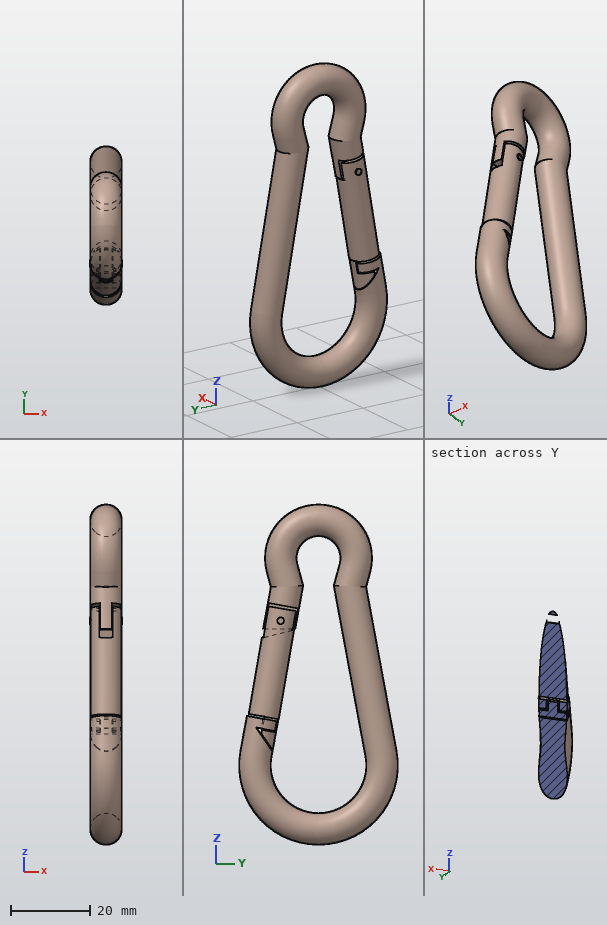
import cadquery as cq
import math


BAR_RADIUS = 4.0
TOP_BEND_RADIUS = 9.5
BOTTOM_BEND_RADIUS = 16.0
OVERALL_HEIGHT = 85.67
LEG_LEAN = math.radians(10.5)
NECK_LEAN = math.radians(15.0)

GATE_RADIUS = 3.86
GATE_TOP_OFFSET = 0.15
GATE_BOTTOM_OFFSET = -0.22
HINGE_GAP_START = 4.95
HINGE_GAP = 0.8
LATCH_GAP_START = 33.3
LATCH_GAP = 0.55

TONGUE_WIDTH = 2.8
SLOT_WIDTH = 3.4
TONGUE_END = 10.85
SLOT_FLOOR = 12.1
SLOT_FLOOR_TILT = math.radians(24.5)
PIN_DISTANCE = 8.8
PIN_RADIUS = 0.85
PIN_LENGTH = 8.15

NOTCH_TOP = 36.35
NOTCH_TIP_ACROSS = 1.1
HOOK_TOP_CLEARANCE = 0.3
HOOK_SLOPE_CLEARANCE = 0.12
HOOK_FACE_ACROSS = -0.37
STEM_CLEARANCE = 0.3
STEM_OVERLAP = 0.1

BAR_DIAMETER = 2 * BAR_RADIUS
REACH = 1.5 * BAR_RADIUS
TOP_CENTER_Z = OVERALL_HEIGHT / 2 - TOP_BEND_RADIUS - BAR_RADIUS
BOTTOM_CENTER_Z = -OVERALL_HEIGHT / 2 + BOTTOM_BEND_RADIUS + BAR_RADIUS


def bend_point(radius, center_z, angle):
    """Point on the +Y half of a bend, angle measured up from +Y."""
    return (radius * math.cos(angle), center_z + radius * math.sin(angle))


def find_kink():
    """Crossing of the leg axis and the neck axis, each tangent to its bend."""
    leg_side = BOTTOM_BEND_RADIUS + BOTTOM_CENTER_Z * math.sin(LEG_LEAN)
    neck_side = TOP_BEND_RADIUS - TOP_CENTER_Z * math.sin(NECK_LEAN)
    divisor = math.sin(LEG_LEAN + NECK_LEAN)
    y = (leg_side * math.sin(NECK_LEAN) + neck_side * math.sin(LEG_LEAN)) / divisor
    z = (leg_side * math.cos(NECK_LEAN) - neck_side * math.cos(LEG_LEAN)) / divisor
    return y, z


KINK_Y, KINK_Z = find_kink()


def gate_point(across, along):
    """Point by the gate leg: across is outward from its axis, along runs down from the kink."""
    y = -KINK_Y - across * math.cos(LEG_LEAN) - along * math.sin(LEG_LEAN)
    z = KINK_Z + across * math.sin(LEG_LEAN) - along * math.cos(LEG_LEAN)
    return y, z


def gate_prism(points, width):
    """Prism centred on x = 0 whose outline is given as (across, along) points."""
    outline = [gate_point(across, along) for across, along in points]
    return cq.Workplane("YZ").polyline(outline).close().extrude(width / 2, both=True)


def make_gate_opening():
    """Opening in the ring for the gate and both gaps, with the tongue left standing."""
    end = LATCH_GAP_START + LATCH_GAP
    outline = [
        (-REACH, HINGE_GAP_START),
        (REACH, HINGE_GAP_START),
        (REACH, end),
        (-REACH, end),
    ]
    return gate_prism(outline, BAR_DIAMETER).cut(make_tongue())


def make_ring():
    """Closed ring of round bar, made as one half and mirrored."""
    path = (
        cq.Workplane("YZ")
        .moveTo(*bend_point(BOTTOM_BEND_RADIUS, BOTTOM_CENTER_Z, -math.pi / 2))
        .threePointArc(
            bend_point(BOTTOM_BEND_RADIUS, BOTTOM_CENTER_Z, -math.pi / 4),
            bend_point(BOTTOM_BEND_RADIUS, BOTTOM_CENTER_Z, LEG_LEAN),
        )
        .lineTo(KINK_Y, KINK_Z)
        .lineTo(*bend_point(TOP_BEND_RADIUS, TOP_CENTER_Z, -NECK_LEAN))
        .threePointArc(
            bend_point(TOP_BEND_RADIUS, TOP_CENTER_Z, math.pi / 4),
            bend_point(TOP_BEND_RADIUS, TOP_CENTER_Z, math.pi / 2),
        )
    )
    start_z = BOTTOM_CENTER_Z - BOTTOM_BEND_RADIUS
    half = cq.Workplane("XZ").center(0, start_z).circle(BAR_RADIUS).sweep(path, transition="right")
    return half.union(half.mirror("XZ"))


def make_gate():
    """Straight round gate between the two gaps, leaning slightly inward towards the latch."""
    top_y, top_z = gate_point(GATE_TOP_OFFSET, HINGE_GAP_START + HINGE_GAP)
    bottom_y, bottom_z = gate_point(GATE_BOTTOM_OFFSET, LATCH_GAP_START)
    top = cq.Vector(0, top_y, top_z)
    axis = cq.Vector(0, bottom_y, bottom_z) - top
    return cq.Workplane(cq.Solid.makeCylinder(GATE_RADIUS, axis.Length, top, axis))


def hinge_prism(end, end_tilt, width):
    """Full-depth prism from the hinge gap to a tilted end, which is deepest on the outside."""
    rise = REACH * math.tan(end_tilt)
    outline = [
        (-REACH, HINGE_GAP_START),
        (REACH, HINGE_GAP_START),
        (REACH, end + rise),
        (-REACH, end - rise),
    ]
    return gate_prism(outline, width)


def make_tongue():
    """Middle strip of the bar that reaches down into the gate; its end is level."""
    return hinge_prism(TONGUE_END, LEG_LEAN, TONGUE_WIDTH)


def make_gate_slot():
    """Slot for the tongue, from the hinge gap down to a tilted floor."""
    return hinge_prism(SLOT_FLOOR, SLOT_FLOOR_TILT, SLOT_WIDTH)


def make_pin():
    """Hinge pin along X, standing slightly proud of the bar on both sides."""
    return (
        cq.Workplane("YZ")
        .center(*gate_point(0, PIN_DISTANCE))
        .circle(PIN_RADIUS)
        .extrude(PIN_LENGTH / 2, both=True)
    )


def make_notch():
    """Wedge-shaped notch through the ring, open to the inside, with a 45 degree lower face."""
    depth = NOTCH_TIP_ACROSS + REACH
    outline = [
        (-REACH, NOTCH_TOP),
        (NOTCH_TIP_ACROSS, NOTCH_TOP),
        (-REACH, NOTCH_TOP + depth),
    ]
    return gate_prism(outline, BAR_DIAMETER)


def make_stem_slot():
    """Slot between the latch gap and the notch that lets the hook stem pass."""
    face = HOOK_FACE_ACROSS + STEM_CLEARANCE
    outline = [
        (-REACH, LATCH_GAP_START),
        (face, LATCH_GAP_START),
        (face, NOTCH_TOP),
        (-REACH, NOTCH_TOP),
    ]
    return gate_prism(outline, SLOT_WIDTH)


def make_hook():
    """Hook with a blunt tip, as wide as the bar, on a narrow stem from the gate end."""
    top = NOTCH_TOP + HOOK_TOP_CLEARANCE
    slope_sum = NOTCH_TIP_ACROSS + NOTCH_TOP - HOOK_SLOPE_CLEARANCE * math.sqrt(2)
    wedge = gate_prism(
        [
            (-REACH, top),
            (HOOK_FACE_ACROSS, top),
            (HOOK_FACE_ACROSS, slope_sum - HOOK_FACE_ACROSS),
            (-REACH, slope_sum + REACH),
        ],
        BAR_DIAMETER,
    )
    stem_root = LATCH_GAP_START - STEM_OVERLAP
    stem = gate_prism(
        [
            (-REACH, stem_root),
            (HOOK_FACE_ACROSS, stem_root),
            (HOOK_FACE_ACROSS, slope_sum - HOOK_FACE_ACROSS),
            (-REACH, slope_sum - HOOK_FACE_ACROSS),
        ],
        TONGUE_WIDTH,
    )
    return wedge.union(stem)


ring = make_ring()

frame = ring.cut(make_gate_opening()).cut(make_stem_slot()).cut(make_notch())

gate = make_gate().cut(make_gate_slot())
gate = gate.union(ring.intersect(make_hook()))

result = frame.union(gate).union(make_pin())